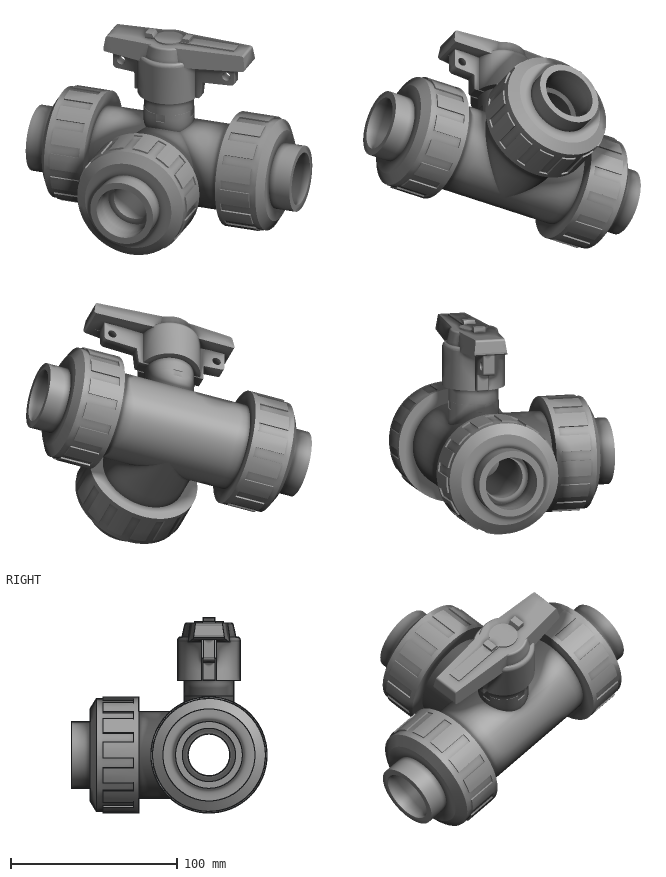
import cadquery as cq
import math


RUN_REACH = 84.5
BRANCH_REACH = 82.8
BODY_RADIUS = 26.2
PIPE_RADIUS = 20.1
SOCKET_RADIUS = 16.0
SOCKET_DEPTH = 20.3
BORE_RADIUS = 12.5
PORT_TURNS = {"right": 0, "left": 180, "branch": -90}

NUT_START = 42.2
NUT_LENGTH = 29.2
NUT_RADIUS = 35.0
NUT_GROOVE_RADIUS = 34.0
NUT_FACE_RADIUS = 27.7
NUT_COLLAR_LENGTH = 3.0
NUT_GRIP_END = 21.6
NUT_CONE_START = 25.5
GROOVE_COUNT = 14
GROOVE_ANGLE = 9.6
GROOVE_OFFSET_ANGLE = 8.0

STEM_RADIUS = 15.0
STEM_FOOT_RADIUS = 15.2
STEM_TOP = 58.3
STEM_FOOT_TOP = 35.5
NOTCH_HEIGHT = 4.7
NOTCH_WIDTH = 5.9
NOTCH_DEPTH = 0.7

HUB_RADIUS = 19.0
HUB_BOTTOM = 44.8
HUB_TOP = 71.0
HUB_SIDE_TOP = 68.6
HUB_RIM_RADIUS = 17.7
CONE_BASE_RADIUS = 16.2
CONE_TOP_RADIUS = 14.4
CONE_ROUND = 1.4

LEVER_LEFT = -38.4
LEVER_RIGHT = 51.7
LEVER_END_FLAT_TOP = 71.7
LEVER_END_CHAMFER = 0.8
LEVER_LEFT_WIDTH = 21.3
LEVER_MID_WIDTH = 27.4
LEVER_RIGHT_WIDTH = 19.3
LEVER_TOP = 79.5
LEVER_BOTTOM = 68.1
LEVER_END_BOTTOM = 69.8
LEVER_FLAT_LEFT = -15.2
LEVER_FLAT_RIGHT = 20.3
LEVER_DRAFT = 8.5
LEVER_END_ROUND = 1.5

MARK_TOP = 80.5
DISC_RADIUS = 8.6
POINTER_WIDTH = 7.8
POINTER_END = 43.1
KNOB_TOP = 82.6
KNOB_OUTER = 14.0
KNOB_INNER_TOP = 9.8
KNOB_INNER_BOTTOM = 8.5

WEB_THICKNESS = 7.1
SLOT_WIDTH = 8.8
SLOT_TOP = 69.6
WEB_LEFT = -34.5
WEB_RIGHT = 43.1
WEB_ARM_BOTTOM = 56.6
WEB_ARM_ROOT = 55.6
WEB_CORNER_ROUND = 2.0
WEB_FOOT_ROUND = 0.8
WEB_FOOT_HALF = 21.0
WEB_FOOT_RIGHT_ROOT = 22.1
WEB_HOLE_RADIUS = 2.7
WEB_HOLE_HEIGHT = 62.0
WEB_HOLE_INSET = 5.0


def rod(radius, start, end):
    """Cylinder along +X between two distances from the origin."""
    return cq.Workplane("YZ", origin=(start, 0, 0)).circle(radius).extrude(end - start)


def upright(radius, bottom, top):
    """Cylinder along +Z."""
    return cq.Workplane("XY", origin=(0, 0, bottom)).circle(radius).extrude(top - bottom)


def side_plate(points, width):
    """Plate with an outline in X and Z, centred on Y = 0."""
    return cq.Workplane("XZ").polyline(points).close().extrude(width / 2, both=True)


def union_nut():
    """Nut on the +X port with grip grooves that run out towards its cone."""
    cone_start = NUT_START + NUT_CONE_START
    grip_start = NUT_START + NUT_COLLAR_LENGTH
    grip_end = NUT_START + NUT_GRIP_END
    nut_end = NUT_START + NUT_LENGTH
    profile = [
        (NUT_START, 0),
        (NUT_START, NUT_GROOVE_RADIUS),
        (cone_start, NUT_GROOVE_RADIUS),
        (nut_end, NUT_FACE_RADIUS),
        (nut_end, 0),
    ]
    core = cq.Workplane("XY").polyline(profile).close().revolve(360, (0, 0, 0), (1, 0, 0))

    grip = rod(NUT_RADIUS, NUT_START, grip_end).cut(rod(NUT_FACE_RADIUS, NUT_START, grip_end))
    reach = 2 * NUT_RADIUS
    half_width = reach * math.tan(math.radians(GROOVE_ANGLE / 2))
    sector = (
        cq.Workplane("YZ", origin=(grip_start, 0, 0))
        .polyline([(0, 0), (-reach, half_width), (-reach, -half_width)])
        .close()
        .extrude(grip_end - grip_start)
    )
    for index in range(GROOVE_COUNT):
        angle = index * 360 / GROOVE_COUNT - GROOVE_OFFSET_ANGLE
        grip = grip.cut(sector.rotate((0, 0, 0), (1, 0, 0), angle))
    return core.union(grip)


def stem():
    """Stem on a slightly wider foot that has a shallow notch on each of its four sides."""
    foot = upright(STEM_FOOT_RADIUS, 0, STEM_FOOT_TOP)
    notch = cq.Workplane("XY").box(2 * NOTCH_DEPTH, NOTCH_WIDTH, NOTCH_HEIGHT)
    notch = notch.translate((STEM_FOOT_RADIUS, 0, STEM_FOOT_TOP - NOTCH_HEIGHT / 2))
    for quarter in range(4):
        foot = foot.cut(notch.rotate((0, 0, 0), (0, 0, 1), 90 * quarter))
    return foot.union(upright(STEM_RADIUS, STEM_FOOT_TOP, STEM_TOP))


def valve_body():
    """Tee body with nuts, pipe ends and stem; ports bored and socketed."""
    reaches = {"right": RUN_REACH, "left": RUN_REACH, "branch": BRANCH_REACH}
    nut = union_nut()
    body = stem()
    for port, turn in PORT_TURNS.items():
        arm = rod(BODY_RADIUS, 0, NUT_START + NUT_COLLAR_LENGTH)
        pipe = rod(PIPE_RADIUS, NUT_START, reaches[port])
        end = arm.union(nut).union(pipe)
        body = body.union(end.rotate((0, 0, 0), (0, 0, 1), turn))
    for port, turn in PORT_TURNS.items():
        reach = reaches[port]
        opening = rod(BORE_RADIUS, 0, reach).union(rod(SOCKET_RADIUS, reach - SOCKET_DEPTH, reach))
        body = body.cut(opening.rotate((0, 0, 0), (0, 0, 1), turn))
    return body


def hub():
    """Round handle hub with a drafted crown."""
    collar = (
        cq.Workplane("XZ")
        .moveTo(0, HUB_BOTTOM)
        .lineTo(HUB_RADIUS, HUB_BOTTOM)
        .lineTo(HUB_RADIUS, HUB_SIDE_TOP)
        .tangentArcPoint((HUB_RIM_RADIUS, HUB_TOP), relative=False)
        .lineTo(0, HUB_TOP)
        .close()
        .revolve()
    )
    crown = (
        cq.Workplane("XY", origin=(0, 0, HUB_TOP))
        .circle(CONE_BASE_RADIUS)
        .workplane(offset=LEVER_TOP - HUB_TOP)
        .circle(CONE_TOP_RADIUS)
        .loft()
        .faces(">Z")
        .edges()
        .fillet(CONE_ROUND)
    )
    return collar.union(crown)


def lever():
    """Drafted lever bar with upright tips and an underside that rises towards both ends."""
    overhang = (LEVER_END_FLAT_TOP - LEVER_BOTTOM) * math.tan(math.radians(LEVER_DRAFT))
    outline = [
        (LEVER_LEFT - overhang, -LEVER_LEFT_WIDTH / 2),
        (0, -LEVER_MID_WIDTH / 2),
        (LEVER_RIGHT + overhang, -LEVER_RIGHT_WIDTH / 2),
        (LEVER_RIGHT + overhang, LEVER_RIGHT_WIDTH / 2),
        (0, LEVER_MID_WIDTH / 2),
        (LEVER_LEFT - overhang, LEVER_LEFT_WIDTH / 2),
    ]
    bar = (
        cq.Workplane("XY", origin=(0, 0, LEVER_BOTTOM))
        .polyline(outline)
        .close()
        .extrude(LEVER_TOP - LEVER_BOTTOM, taper=LEVER_DRAFT)
    )
    bar = bar.faces(">Z").edges("|Y").fillet(LEVER_END_ROUND)
    side_profile = [
        (LEVER_LEFT, LEVER_TOP),
        (LEVER_LEFT, LEVER_END_BOTTOM + LEVER_END_CHAMFER),
        (LEVER_LEFT + LEVER_END_CHAMFER, LEVER_END_BOTTOM),
        (LEVER_FLAT_LEFT, LEVER_BOTTOM),
        (LEVER_FLAT_RIGHT, LEVER_BOTTOM),
        (LEVER_RIGHT - LEVER_END_CHAMFER, LEVER_END_BOTTOM),
        (LEVER_RIGHT, LEVER_END_BOTTOM + LEVER_END_CHAMFER),
        (LEVER_RIGHT, LEVER_TOP),
    ]
    return bar.intersect(side_plate(side_profile, LEVER_MID_WIDTH))


def top_marks():
    """Centre disc, pointer bar and two stop knobs on the lever."""
    marks = upright(DISC_RADIUS, HUB_TOP, MARK_TOP)
    pointer = [(0, HUB_TOP), (POINTER_END, HUB_TOP), (POINTER_END, MARK_TOP), (0, MARK_TOP)]
    marks = marks.union(side_plate(pointer, POINTER_WIDTH))
    for side in (-1, 1):
        knob = [
            (side * KNOB_OUTER, HUB_TOP),
            (side * KNOB_OUTER, KNOB_TOP),
            (side * KNOB_INNER_TOP, KNOB_TOP),
            (side * KNOB_INNER_BOTTOM, MARK_TOP),
            (side * KNOB_INNER_BOTTOM, HUB_TOP),
        ]
        marks = marks.union(side_plate(knob, WEB_THICKNESS))
    return marks


def hub_slot():
    """Slot along X through hub and lever underside that leaves the stem whole."""
    slot_profile = [
        (LEVER_LEFT, HUB_BOTTOM),
        (LEVER_RIGHT, HUB_BOTTOM),
        (LEVER_RIGHT, SLOT_TOP),
        (LEVER_LEFT, SLOT_TOP),
    ]
    slot = side_plate(slot_profile, SLOT_WIDTH)
    return slot.cut(upright(STEM_RADIUS, HUB_BOTTOM, STEM_TOP))


def web():
    """Upright web with a drilled arm on each side and a foot around the stem."""
    outline = [
        (WEB_LEFT, HUB_TOP),
        (WEB_LEFT, WEB_ARM_BOTTOM),
        (-WEB_FOOT_HALF, WEB_ARM_ROOT),
        (-WEB_FOOT_HALF, HUB_BOTTOM),
        (WEB_FOOT_HALF, HUB_BOTTOM),
        (WEB_FOOT_RIGHT_ROOT, WEB_ARM_ROOT),
        (WEB_RIGHT, WEB_ARM_BOTTOM),
        (WEB_RIGHT, HUB_TOP),
    ]
    plate = side_plate(outline, WEB_THICKNESS)
    rounded_corners = [
        (WEB_LEFT, WEB_ARM_BOTTOM, WEB_CORNER_ROUND),
        (WEB_RIGHT, WEB_ARM_BOTTOM, WEB_CORNER_ROUND),
        (-WEB_FOOT_HALF, WEB_ARM_ROOT, WEB_FOOT_ROUND),
        (-WEB_FOOT_HALF, HUB_BOTTOM, WEB_FOOT_ROUND),
        (WEB_FOOT_HALF, HUB_BOTTOM, WEB_FOOT_ROUND),
    ]
    for x, z, radius in rounded_corners:
        corner = cq.selectors.NearestToPointSelector((x, 0, z))
        plate = plate.edges("|Y").edges(corner).fillet(radius)
    holes = (
        cq.Workplane("XZ")
        .pushPoints([
            (WEB_LEFT + WEB_HOLE_INSET, WEB_HOLE_HEIGHT),
            (WEB_RIGHT - WEB_HOLE_INSET, WEB_HOLE_HEIGHT),
        ])
        .circle(WEB_HOLE_RADIUS)
        .extrude(WEB_THICKNESS, both=True)
    )
    return plate.cut(holes)


handle = hub().union(lever()).cut(hub_slot()).union(top_marks()).union(web())
result = valve_body().union(handle)